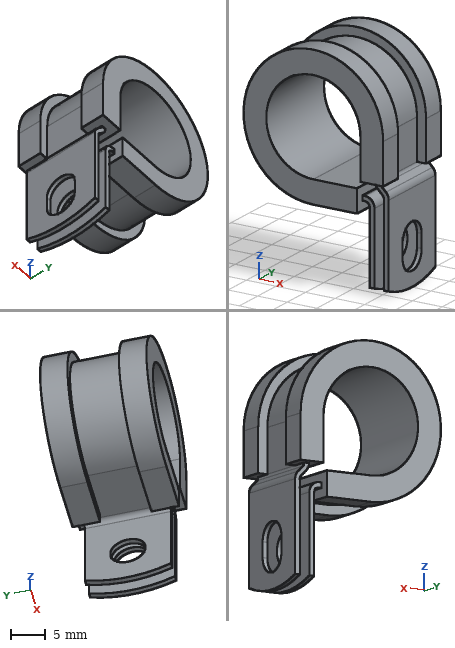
import cadquery as cq
import math


outer_radius = 11.805
inner_radius = 7.94
cushion_width = 15.75
groove_width = 7.62
side_leg_length = 6.85
bottom_leg_length = 7.38

strap_thickness = 0.8
strap_width = 12.75
tab_gap = 2 * strap_thickness
bend_inner_radius = strap_thickness
bend_mid_radius = bend_inner_radius + strap_thickness / 2
jog_angle = math.radians(45)
tab_bottom = -24.525
tab_corner_z = -23.29
hole_diameter = 5.2
slot_length = 7.5
hole_z = -18.26

strap_mid_radius = (outer_radius + inner_radius) / 2
strap_outer_radius = strap_mid_radius + strap_thickness / 2

outer_tab_x = outer_radius - strap_thickness / 2
inner_tab_x = outer_tab_x - tab_gap - strap_thickness
gap_middle_x = (outer_tab_x + inner_tab_x) / 2


def loop_band(small_radius, large_radius, width):
    """Three-quarter ring with a leg going down and a leg going right, centred on Y = 0."""
    diagonal = math.sqrt(0.5)
    return (
        cq.Workplane("XZ")
        .moveTo(large_radius, -side_leg_length)
        .lineTo(large_radius, 0)
        .threePointArc((-large_radius * diagonal, large_radius * diagonal), (0, -large_radius))
        .lineTo(bottom_leg_length, -large_radius)
        .lineTo(bottom_leg_length, -small_radius)
        .lineTo(0, -small_radius)
        .threePointArc((-small_radius * diagonal, small_radius * diagonal), (small_radius, 0))
        .lineTo(small_radius, -side_leg_length)
        .close()
        .extrude(width / 2, both=True)
    )


def bend_point(center, radius, angle):
    """Point (x, z) on a bend, with the angle measured from +X towards +Z."""
    return (center[0] + radius * math.cos(angle), center[1] + radius * math.sin(angle))


def inner_strap_end():
    """Strap leaving the bottom leg, bent a quarter turn down into the inner tab."""
    mid = bend_mid_radius
    center = (inner_tab_x - mid, -strap_mid_radius - mid)
    inner = bend_inner_radius
    outer = inner + strap_thickness
    eighth = math.pi / 4
    return (
        cq.Workplane("XZ")
        .moveTo(bottom_leg_length, center[1] + outer)
        .lineTo(center[0], center[1] + outer)
        .threePointArc(bend_point(center, outer, eighth), bend_point(center, outer, 0))
        .lineTo(center[0] + outer, tab_bottom)
        .lineTo(center[0] + inner, tab_bottom)
        .lineTo(center[0] + inner, center[1])
        .threePointArc(bend_point(center, inner, eighth), bend_point(center, inner, math.pi / 2))
        .lineTo(bottom_leg_length, center[1] + inner)
        .close()
        .extrude(strap_width / 2, both=True)
    )


def outer_strap_end():
    """Strap leaving the side leg, jogged outwards into the outer tab."""
    mid = bend_mid_radius
    inner = bend_inner_radius
    outer = inner + strap_thickness
    offset = outer_tab_x - strap_mid_radius
    slope_run = offset - 2 * mid * (1 - math.cos(jog_angle))
    jog_height = 2 * mid * math.sin(jog_angle) + slope_run / math.tan(jog_angle)
    upper = (strap_mid_radius + mid, -side_leg_length)
    lower = (outer_tab_x - mid, -side_leg_length - jog_height)
    half = jog_angle / 2
    turn = math.pi
    return (
        cq.Workplane("XZ")
        .moveTo(*bend_point(upper, inner, turn))
        .threePointArc(
            bend_point(upper, inner, turn + half), bend_point(upper, inner, turn + jog_angle)
        )
        .lineTo(*bend_point(lower, outer, jog_angle))
        .threePointArc(bend_point(lower, outer, half), bend_point(lower, outer, 0))
        .lineTo(lower[0] + outer, tab_bottom)
        .lineTo(lower[0] + inner, tab_bottom)
        .lineTo(*bend_point(lower, inner, 0))
        .threePointArc(bend_point(lower, inner, half), bend_point(lower, inner, jog_angle))
        .lineTo(*bend_point(upper, outer, turn + jog_angle))
        .threePointArc(bend_point(upper, outer, turn + half), bend_point(upper, outer, turn))
        .close()
        .extrude(strap_width / 2, both=True)
    )


def tab_envelope():
    """Side outline of the tabs: straight sides closed by a shallow arc at the bottom."""
    half_width = strap_width / 2
    return (
        cq.Workplane("YZ")
        .moveTo(-half_width, 0)
        .lineTo(-half_width, tab_corner_z)
        .threePointArc((0, tab_bottom), (half_width, tab_corner_z))
        .lineTo(half_width, 0)
        .close()
        .extrude(outer_radius)
    )


def inner_tab_hole():
    """Round screw hole, running along X through the inner tab only."""
    return (
        cq.Workplane("YZ", origin=(0, 0, hole_z))
        .circle(hole_diameter / 2)
        .extrude(gap_middle_x)
    )


def outer_tab_slot():
    """Vertical slot, as wide as the round hole, running along X through the outer tab only."""
    return (
        cq.Workplane("YZ", origin=(gap_middle_x, 0, hole_z))
        .slot2D(slot_length, hole_diameter, 90)
        .extrude(outer_radius - gap_middle_x)
    )


cushion = loop_band(inner_radius, outer_radius, cushion_width)
groove = loop_band(strap_outer_radius, outer_radius, groove_width)
strap_ends = inner_strap_end().union(outer_strap_end())
strap_ends = strap_ends.intersect(tab_envelope()).cut(inner_tab_hole()).cut(outer_tab_slot())

result = cushion.cut(groove).union(strap_ends)